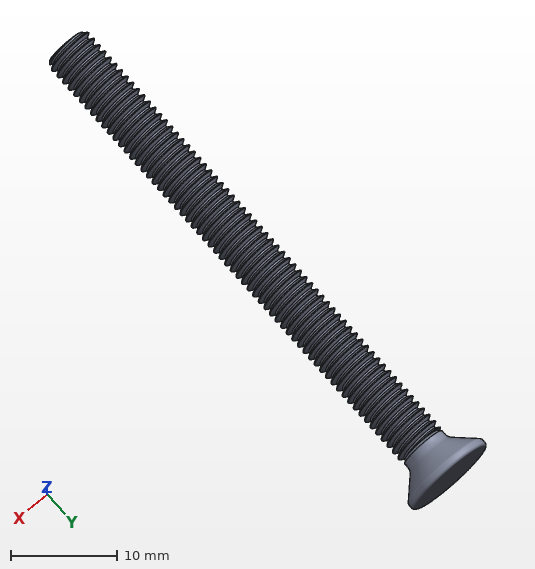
import cadquery as cq
import math

LENGTH = 55.0

HEAD_RADIUS = 9.3 / 2
RIM_DEPTH = 0.75
RIM_ROUND = 0.3
HEAD_HALF_ANGLE = math.radians(45)

SHANK_RADIUS = 2.36
SHANK_END = 3.85
NECK_FILLET = 1.0

PITCH = 0.8
MAJOR_RADIUS = 5.0 / 2
SHARP_HEIGHT = PITCH * math.sqrt(3) / 2
ROOT_RADIUS = MAJOR_RADIUS - SHARP_HEIGHT * 5 / 8
CREST_WIDTH = PITCH / 8
FLANK_SLOPE = math.tan(math.radians(30))
CORE_OVERLAP = 0.05
BASE_RADIUS = ROOT_RADIUS - CORE_OVERLAP
BASE_HALF_WIDTH = CREST_WIDTH / 2 + (MAJOR_RADIUS - BASE_RADIUS) * FLANK_SLOPE

CONE_END = RIM_DEPTH + (HEAD_RADIUS - SHANK_RADIUS) / math.tan(HEAD_HALF_ANGLE)
THREAD_START = SHANK_END + SHANK_RADIUS - ROOT_RADIUS
RIDGE_START = 3.8
TIP_TAPER = MAJOR_RADIUS - ROOT_RADIUS
RUNOUT = MAJOR_RADIUS - SHANK_RADIUS


def make_blank():
    """Head, filleted neck, plain shank and the core that carries the thread."""
    turn = HEAD_HALF_ANGLE
    tangent = NECK_FILLET * math.tan(turn / 2)
    fillet_radius_start = SHANK_RADIUS + tangent * math.sin(turn)
    fillet_start = CONE_END - tangent * math.cos(turn)
    fillet_end = CONE_END + tangent
    fillet_center_radius = SHANK_RADIUS + NECK_FILLET
    fillet_middle = (
        fillet_center_radius - NECK_FILLET * math.cos(turn / 2),
        fillet_end - NECK_FILLET * math.sin(turn / 2),
    )
    round_center_radius = HEAD_RADIUS - RIM_ROUND
    upper_round_middle = (
        round_center_radius + RIM_ROUND * math.sqrt(0.5),
        RIM_ROUND - RIM_ROUND * math.sqrt(0.5),
    )
    lower_round_start = RIM_DEPTH - RIM_ROUND * math.tan(turn / 2)
    lower_round_middle = (
        round_center_radius + RIM_ROUND * math.cos(turn / 2),
        lower_round_start + RIM_ROUND * math.sin(turn / 2),
    )
    lower_round_end = (
        round_center_radius + RIM_ROUND * math.cos(turn),
        lower_round_start + RIM_ROUND * math.sin(turn),
    )
    return (
        cq.Workplane("XZ")
        .moveTo(0, 0)
        .lineTo(round_center_radius, 0)
        .threePointArc(upper_round_middle, (HEAD_RADIUS, RIM_ROUND))
        .lineTo(HEAD_RADIUS, lower_round_start)
        .threePointArc(lower_round_middle, lower_round_end)
        .lineTo(fillet_radius_start, fillet_start)
        .threePointArc(fillet_middle, (SHANK_RADIUS, fillet_end))
        .lineTo(SHANK_RADIUS, SHANK_END)
        .lineTo(ROOT_RADIUS, THREAD_START)
        .lineTo(ROOT_RADIUS, LENGTH)
        .lineTo(0, LENGTH)
        .close()
        .revolve(360, (0, 0, 0), (0, 1, 0))
    )


def make_ridge_turn(start):
    """One turn of the helical ridge, with its crest centred at height start on the +X side."""
    helices = [
        cq.Wire.makeHelix(PITCH, PITCH, radius, cq.Vector(0, 0, start + offset))
        for radius, offset in (
            (BASE_RADIUS, -BASE_HALF_WIDTH),
            (MAJOR_RADIUS, -CREST_WIDTH / 2),
            (MAJOR_RADIUS, CREST_WIDTH / 2),
            (BASE_RADIUS, BASE_HALF_WIDTH),
        )
    ]
    faces = [cq.Face.makeRuledSurface(helices[i - 1], helices[i]) for i in range(len(helices))]
    for end in (0, 1):
        corners = [helix.positionAt(end) for helix in helices]
        faces.append(cq.Face.makeFromWires(cq.Wire.makePolygon(corners, close=True)))
    return cq.Solid.makeSolid(cq.Shell.makeShell(faces))


def make_thread_envelope():
    """Cylinder at the major diameter, tapered at the run-out and at the tip."""
    return (
        cq.Workplane("XZ")
        .moveTo(0, THREAD_START)
        .lineTo(SHANK_RADIUS, THREAD_START)
        .lineTo(MAJOR_RADIUS, THREAD_START + RUNOUT)
        .lineTo(MAJOR_RADIUS, LENGTH - TIP_TAPER)
        .lineTo(ROOT_RADIUS, LENGTH)
        .lineTo(0, LENGTH)
        .close()
        .revolve(360, (0, 0, 0), (0, 1, 0))
    )


def make_thread_turns():
    """All turns of the ridge, those at the run-out and the tip trimmed to the envelope."""
    envelope = make_thread_envelope().val()
    full_from = THREAD_START + RUNOUT
    full_to = LENGTH - TIP_TAPER
    turn_count = math.ceil((LENGTH + BASE_HALF_WIDTH - RIDGE_START) / PITCH)
    turns = []
    for i in range(turn_count):
        start = RIDGE_START + i * PITCH
        turn = make_ridge_turn(start)
        lowest = start - BASE_HALF_WIDTH
        highest = start + PITCH + BASE_HALF_WIDTH
        if lowest < full_from or highest > full_to:
            turns.extend(turn.intersect(envelope).Solids())
        else:
            turns.append(turn)
    return turns


screw = make_blank().val().fuse(*make_thread_turns())
result = cq.Workplane(screw.Solids()[0]).rotate((0, 0, 0), (1, 0, 0), 90)